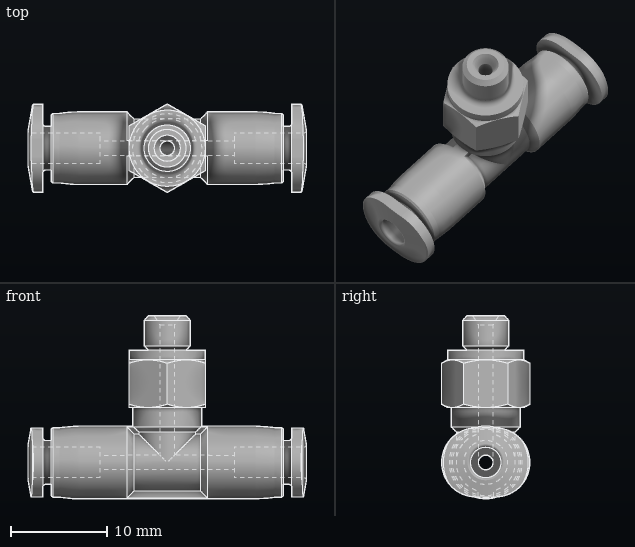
import cadquery as cq
import math

overall_length = 29.0
half_length = overall_length / 2

body_radius = 3.8
core_radius = 3.07
shoulder_outer_x = 4.2
shoulder_inner_x = shoulder_outer_x - (body_radius - core_radius)
barrel_start_x = 9.2
barrel_end_x = 11.2
cap_radius = 3.64
body_end_x = 12.1
cap_chamfer = 0.18
web_thickness = 1.6

collet_width = 9.2
collet_height = 7.2
collet_back_x = 12.95
collet_face_slope = math.tan(math.radians(10))
collet_rim_chamfer_width = 0.18
collet_rim_chamfer_depth = 0.12
sleeve_radius = 4.58 / 2
sleeve_fillet = 0.3
collet_bore_radius = 3.17 / 2
collet_mouth_fillet = 0.3
collet_mouth_radius = collet_bore_radius + collet_mouth_fillet
tube_stop_x = 7.0

stem_radius = 7.2 / 2
stem_cone_top_z = 3.7
hex_bottom_z = 5.7
hex_top_z = 10.7
hex_across_flats = 8.0
hex_across_corners = hex_across_flats / math.cos(math.pi / 6)
hex_chamfer_slope = math.tan(math.radians(30))
flange_radius = 7.94 / 2
flange_top_z = 11.7
thread_radius = 4.83 / 2
thread_bottom_z = 12.15
thread_undercut = thread_bottom_z - flange_top_z
branch_top_z = 15.3
thread_chamfer_height = 0.5
thread_chamfer_width = 0.46

bore_radius = 1.5 / 2
countersink_radius = 1.36
countersink_depth = 1.0


def make_run_body():
    """Turned core between two shouldered sleeves with barrel-shaped ends."""
    barrel_length = barrel_end_x - barrel_start_x
    barrel_drop = body_radius - cap_radius
    barrel_arc_radius = (barrel_length**2 + barrel_drop**2) / (2 * barrel_drop)
    mid_length = barrel_length / 2
    mid_drop = barrel_arc_radius - math.sqrt(barrel_arc_radius**2 - mid_length**2)
    barrel_mid_x = barrel_start_x + mid_length
    barrel_mid_radius = body_radius - mid_drop
    return (
        cq.Workplane("XY")
        .moveTo(-body_end_x, 0)
        .lineTo(-body_end_x, cap_radius - cap_chamfer)
        .lineTo(-body_end_x + cap_chamfer, cap_radius)
        .lineTo(-barrel_end_x, cap_radius)
        .threePointArc((-barrel_mid_x, barrel_mid_radius), (-barrel_start_x, body_radius))
        .lineTo(-shoulder_outer_x, body_radius)
        .lineTo(-shoulder_inner_x, core_radius)
        .lineTo(shoulder_inner_x, core_radius)
        .lineTo(shoulder_outer_x, body_radius)
        .lineTo(barrel_start_x, body_radius)
        .threePointArc((barrel_mid_x, barrel_mid_radius), (barrel_end_x, cap_radius))
        .lineTo(body_end_x - cap_chamfer, cap_radius)
        .lineTo(body_end_x, cap_radius - cap_chamfer)
        .lineTo(body_end_x, 0)
        .close()
        .revolve(360, (0, 0, 0), (1, 0, 0))
    )


def make_web():
    """Flat vertical web through the core, rounded to the body diameter."""
    web_length = 2 * shoulder_outer_x
    web = cq.Workplane("XY").box(web_length, web_thickness, 2 * body_radius)
    envelope = (
        cq.Workplane("YZ")
        .workplane(offset=-shoulder_outer_x)
        .circle(body_radius)
        .extrude(web_length)
    )
    return web.intersect(envelope)


def make_collet():
    """Oblong release button with a conical face, on a round sleeve, at +X."""
    button = (
        cq.Workplane("YZ")
        .workplane(offset=collet_back_x)
        .slot2D(collet_width, collet_height)
        .extrude(half_length - collet_back_x)
    )
    rim_radius = collet_width / 2
    face_radius = rim_radius - collet_rim_chamfer_width
    face_edge_x = half_length - (face_radius - collet_mouth_radius) * collet_face_slope
    cone = (
        cq.Workplane("XY")
        .moveTo(collet_back_x, 0)
        .lineTo(collet_back_x, rim_radius)
        .lineTo(face_edge_x - collet_rim_chamfer_depth, rim_radius)
        .lineTo(face_edge_x, face_radius)
        .lineTo(half_length, collet_mouth_radius)
        .lineTo(half_length, 0)
        .close()
        .revolve(360, (0, 0, 0), (1, 0, 0))
    )
    sleeve = (
        cq.Workplane("XY")
        .moveTo(body_end_x - cap_chamfer, 0)
        .lineTo(body_end_x - cap_chamfer, sleeve_radius)
        .lineTo(collet_back_x - sleeve_fillet, sleeve_radius)
        .radiusArc((collet_back_x, sleeve_radius + sleeve_fillet), -sleeve_fillet)
        .lineTo(collet_back_x, 0)
        .close()
        .revolve(360, (0, 0, 0), (1, 0, 0))
    )
    return button.intersect(cone).union(sleeve)


def make_tube_socket():
    """Space cut by the collet bore and its rounded mouth, at +X."""
    return (
        cq.Workplane("XY")
        .moveTo(tube_stop_x, 0)
        .lineTo(tube_stop_x, collet_bore_radius)
        .lineTo(half_length - collet_mouth_fillet, collet_bore_radius)
        .radiusArc((half_length, collet_mouth_radius), -collet_mouth_fillet)
        .lineTo(half_length, 0)
        .close()
        .revolve(360, (0, 0, 0), (1, 0, 0))
    )


def make_hexagon():
    """Hexagon with flats facing +X and -X, its corners chamfered at both ends."""
    height = hex_top_z - hex_bottom_z
    corner_radius = hex_across_corners / 2
    chamfer_height = (corner_radius - flange_radius) * hex_chamfer_slope
    prism = (
        cq.Workplane("XY")
        .workplane(offset=hex_bottom_z)
        .polygon(6, hex_across_corners)
        .extrude(height)
        .rotate((0, 0, 0), (0, 0, 1), 90)
    )
    envelope = (
        cq.Workplane("XZ")
        .moveTo(0, hex_bottom_z)
        .lineTo(flange_radius, hex_bottom_z)
        .lineTo(corner_radius, hex_bottom_z + chamfer_height)
        .lineTo(corner_radius, hex_top_z - chamfer_height)
        .lineTo(flange_radius, hex_top_z)
        .lineTo(0, hex_top_z)
        .close()
        .revolve(360, (0, 0, 0), (0, 1, 0))
    )
    return prism.intersect(envelope)


def make_branch():
    """Turned stem, flange and thread, with the hexagon around the stem."""
    turned = (
        cq.Workplane("XZ")
        .lineTo(core_radius, 0)
        .lineTo(core_radius, stem_cone_top_z - (stem_radius - core_radius))
        .lineTo(stem_radius, stem_cone_top_z)
        .lineTo(stem_radius, hex_top_z)
        .lineTo(flange_radius, hex_top_z)
        .lineTo(flange_radius, flange_top_z)
        .lineTo(thread_radius - thread_undercut, flange_top_z)
        .lineTo(thread_radius, thread_bottom_z)
        .lineTo(thread_radius, branch_top_z - thread_chamfer_height)
        .lineTo(thread_radius - thread_chamfer_width, branch_top_z)
        .lineTo(0, branch_top_z)
        .close()
        .revolve(360, (0, 0, 0), (0, 1, 0))
    )
    return turned.union(make_hexagon())


def make_branch_bore():
    """Vertical passage down to the run axis, countersunk at the top."""
    return (
        cq.Workplane("XZ")
        .lineTo(bore_radius, 0)
        .lineTo(bore_radius, branch_top_z - countersink_depth)
        .lineTo(countersink_radius, branch_top_z)
        .lineTo(0, branch_top_z)
        .close()
        .revolve(360, (0, 0, 0), (0, 1, 0))
    )


def make_run_bore():
    """Passage along the whole run."""
    return (
        cq.Workplane("YZ")
        .workplane(offset=-half_length)
        .circle(bore_radius)
        .extrude(overall_length)
    )


collet = make_collet()
tube_socket = make_tube_socket()

result = make_run_body().union(make_web()).union(make_branch())
result = result.union(collet).union(collet.mirror("YZ"))
result = result.cut(tube_socket).cut(tube_socket.mirror("YZ"))
result = result.cut(make_run_bore()).cut(make_branch_bore())